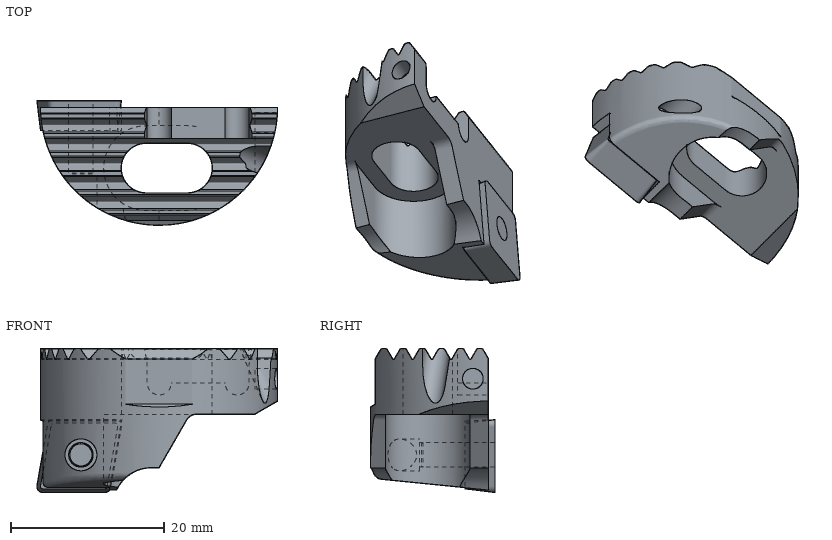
import cadquery as cq
import math


MARGIN = 2.0

BODY_RADIUS = 15.47
BODY_APEX_Y = -15.4
BODY_CENTRE_Y = BODY_APEX_Y + BODY_RADIUS
BODY_BACK_X = math.sqrt(BODY_RADIUS**2 - BODY_CENTRE_Y**2)

BOTTOM_Z = -18.47
BOTTOM_SLOPE = 5.7
BOTTOM_FILLET = 0.8
SHELF_Z = -15.57
SHELF_CORNER_X = 0.0
SHELF_ARC_RADIUS = 5.0
SHELF_ARC_X = -1.0
ARM_Z = -8.59
ARM_SLOPE = 60.0
ARM_FILLET = 1.5
ARM_CHAMFER_X = 12.48
ARM_CHAMFER_ANGLE = 30.0

TOOTH_PITCH = 2.5
TOOTH_COUNT = 6
FIRST_CREST_Y = -1.13
TOOTH_DEPTH = 1.42
TOOTH_FLANK_ANGLE = 30.0
CREST_WIDTH = 0.47
CREST_CHAMFER_WIDTH = 0.18
CREST_CHAMFER_DEPTH = 0.1

SLOT_X = 1.0
SLOT_Y = -7.93
SLOT_LENGTH = 11.85
SLOT_WIDTH = 6.45
SLOT_RECESS_MARGIN = 2.3

NOTCH_X = 5.1
NOTCH_FRONT_Y = -4.07
NOTCH_WIDTH = 13.3
NOTCH_DRAFT = 10.0
NOTCH_DRAFT_DEPTH = 2.0
NOTCH_FLOOR_Z = -4.5
NOTCH_GROOVE_RADIUS = 1.57

CROSS_HOLE_END_X = 12.5
CROSS_HOLE_RADIUS = 1.35
CROSS_HOLE_Z = -3.95

FLAT_Y = -14.78
FLAT_Z = -7.28
FLAT_RAMP_ANGLE = 30.0

FLUTE_RADIUS = 1.7
FLUTE_FLARE = 22.0
FLUTE_LENGTH = 12.0
FLUTE_REACH = 6.0
FLUTE_START = (10.6, -5.95, 0.0)
FLUTE_TILT = 25.0
FLUTE_HEADING = -20.0

INSERT_BACK_Y = 0.87
INSERT_FRONT_Y = -3.03
INSERT_BOTTOM_Z = -18.8
INSERT_HEIGHT = 9.525
INSERT_ANGLE = 80.0
INSERT_CORNER_X = -16.10
INSERT_RADIUS = 0.8
INSERT_RELIEF = 7.0

POCKET_BACK_Z = -9.33
POCKET_FRONT_Z = -9.46

PIN_X = -10.19
PIN_Z = -13.88
PIN_RADIUS = 1.6
PIN_CHAMFER = 0.15
PIN_FRONT_Y = -8.7
COUNTERBORE_RADIUS = 2.08
COUNTERBORE_FLOOR_Y = -9.0


def tan(degrees):
    return math.tan(math.radians(degrees))


def along_y(back_y):
    """XZ sketch plane at the given Y; positive extrusion runs toward -Y."""
    return cq.Workplane("XZ", origin=(0, back_y, 0))


def along_x(start_x):
    """YZ sketch plane at the given X; positive extrusion runs toward +X."""
    return cq.Workplane("YZ", origin=(start_x, 0, 0))


def body_blank():
    """Half-round column with a sloping, rounded underside."""
    column = (
        cq.Workplane("XY")
        .moveTo(-BODY_BACK_X, 0)
        .threePointArc((0, BODY_APEX_Y), (BODY_BACK_X, 0))
        .close()
        .extrude(BOTTOM_Z - MARGIN)
    )
    reach = BODY_RADIUS + MARGIN
    below = (
        along_x(-reach)
        .polyline(
            [
                (MARGIN, BOTTOM_Z - MARGIN * tan(BOTTOM_SLOPE)),
                (-reach, BOTTOM_Z + reach * tan(BOTTOM_SLOPE)),
                (-reach, BOTTOM_Z - 2 * MARGIN),
                (MARGIN, BOTTOM_Z - 2 * MARGIN),
            ]
        )
        .close()
        .extrude(2 * reach)
    )
    column = column.cut(below)
    return column.faces("<Z").edges("not |X").fillet(BOTTOM_FILLET)


def underside_cut():
    """Stepped region below the arm and the shelf, cut through along Y."""
    reach = BODY_RADIUS + MARGIN
    low_z = BOTTOM_Z - MARGIN
    arm_corner_x = SHELF_CORNER_X + (ARM_Z - SHELF_Z) / tan(ARM_SLOPE)
    arm_tangent = ARM_FILLET * tan(ARM_SLOPE / 2)
    slope_x = math.cos(math.radians(ARM_SLOPE))
    slope_z = math.sin(math.radians(ARM_SLOPE))
    arc_centre_z = SHELF_Z - SHELF_ARC_RADIUS
    arc_diagonal = SHELF_ARC_RADIUS * math.sqrt(0.5)
    return (
        along_y(MARGIN)
        .moveTo(SHELF_ARC_X - SHELF_ARC_RADIUS, arc_centre_z)
        .threePointArc(
            (SHELF_ARC_X - arc_diagonal, arc_centre_z + arc_diagonal), (SHELF_ARC_X, SHELF_Z)
        )
        .lineTo(SHELF_CORNER_X, SHELF_Z)
        .lineTo(arm_corner_x - arm_tangent * slope_x, ARM_Z - arm_tangent * slope_z)
        .tangentArcPoint((arm_corner_x + arm_tangent, ARM_Z), relative=False)
        .lineTo(ARM_CHAMFER_X, ARM_Z)
        .lineTo(reach, ARM_Z + (reach - ARM_CHAMFER_X) * tan(ARM_CHAMFER_ANGLE))
        .lineTo(reach, arc_centre_z)
        .close()
        .extrude(reach + MARGIN)
    )


def serration_cut():
    """Round-bottomed valleys between the crests, including the cut-off ones at the back and front."""
    reach = BODY_RADIUS + MARGIN
    flank_sin = math.sin(math.radians(TOOTH_FLANK_ANGLE))
    flank_cos = math.cos(math.radians(TOOTH_FLANK_ANGLE))
    top_half = (TOOTH_PITCH - CREST_WIDTH) / 2
    flank_half = top_half - CREST_CHAMFER_WIDTH
    flank_half_at_root = flank_half - (TOOTH_DEPTH - CREST_CHAMFER_DEPTH) * tan(TOOTH_FLANK_ANGLE)
    root_radius = flank_half_at_root * flank_cos / (1 - flank_sin)
    root_half = root_radius * flank_cos
    root_top_z = -TOOTH_DEPTH + root_radius * (1 - flank_sin)
    valleys = cq.Workplane("XY")
    for index in range(TOOTH_COUNT + 1):
        centre = FIRST_CREST_Y + TOOTH_PITCH * (0.5 - index)
        valley = (
            along_x(-reach)
            .moveTo(centre - top_half, 0)
            .lineTo(centre - flank_half, -CREST_CHAMFER_DEPTH)
            .lineTo(centre - root_half, root_top_z)
            .threePointArc((centre, -TOOTH_DEPTH), (centre + root_half, root_top_z))
            .lineTo(centre + flank_half, -CREST_CHAMFER_DEPTH)
            .lineTo(centre + top_half, 0)
            .close()
            .extrude(2 * reach)
        )
        valleys = valleys.add(valley)
    return valleys.combine()


def slot_cut():
    """Through slot with a wider obround recess below the level of the arm's underside."""
    slot = (
        cq.Workplane("XY")
        .center(SLOT_X, SLOT_Y)
        .slot2D(SLOT_LENGTH, SLOT_WIDTH)
        .extrude(BOTTOM_Z - MARGIN)
    )
    recess = (
        cq.Workplane("XY", origin=(SLOT_X, SLOT_Y, ARM_Z))
        .slot2D(SLOT_LENGTH + 2 * SLOT_RECESS_MARGIN, SLOT_WIDTH + 2 * SLOT_RECESS_MARGIN)
        .extrude(BOTTOM_Z - MARGIN - ARM_Z)
    )
    return slot.union(recess)


def notch_cut():
    """Notch with drafted upper walls and a round groove at each end of its floor."""
    top_half = NOTCH_WIDTH / 2 + NOTCH_DRAFT_DEPTH * tan(NOTCH_DRAFT)
    wall_half = NOTCH_WIDTH / 2
    groove_end = wall_half - 2 * NOTCH_GROOVE_RADIUS
    groove_mid = wall_half - NOTCH_GROOVE_RADIUS
    groove_low_z = NOTCH_FLOOR_Z - NOTCH_GROOVE_RADIUS
    return (
        along_y(0)
        .moveTo(NOTCH_X - top_half, 0)
        .lineTo(NOTCH_X - wall_half, -NOTCH_DRAFT_DEPTH)
        .lineTo(NOTCH_X - wall_half, NOTCH_FLOOR_Z)
        .threePointArc((NOTCH_X - groove_mid, groove_low_z), (NOTCH_X - groove_end, NOTCH_FLOOR_Z))
        .lineTo(NOTCH_X + groove_end, NOTCH_FLOOR_Z)
        .threePointArc((NOTCH_X + groove_mid, groove_low_z), (NOTCH_X + wall_half, NOTCH_FLOOR_Z))
        .lineTo(NOTCH_X + wall_half, -NOTCH_DRAFT_DEPTH)
        .lineTo(NOTCH_X + top_half, 0)
        .close()
        .extrude(-NOTCH_FRONT_Y)
    )


def cross_hole_cut():
    return (
        along_x(CROSS_HOLE_END_X)
        .center(NOTCH_FRONT_Y / 2, CROSS_HOLE_Z)
        .circle(CROSS_HOLE_RADIUS)
        .extrude(BODY_RADIUS)
    )


def front_flat_cut():
    outer_y = BODY_APEX_Y - MARGIN
    return (
        along_x(-BODY_RADIUS)
        .polyline(
            [
                (FLAT_Y, 0),
                (FLAT_Y, FLAT_Z),
                (outer_y, FLAT_Z + (outer_y - FLAT_Y) * tan(FLAT_RAMP_ANGLE)),
                (outer_y, 0),
            ]
        )
        .close()
        .extrude(2 * BODY_RADIUS)
    )


def flute_cut():
    """Round-bottomed flute, flaring outward, sinking from the serrations to the curved side."""
    tilt = math.radians(FLUTE_TILT)
    heading = math.radians(FLUTE_HEADING)
    out_x = math.cos(heading)
    out_y = math.sin(heading)
    direction = cq.Vector(out_x * math.sin(tilt), out_y * math.sin(tilt), -math.cos(tilt))
    outward = cq.Vector(out_x * math.cos(tilt), out_y * math.cos(tilt), math.sin(tilt))
    start = cq.Vector(*FLUTE_START) - direction * MARGIN
    flare = math.radians(FLUTE_FLARE)
    tangent_depth = FLUTE_RADIUS * (1 - math.sin(flare))
    tangent_side = -FLUTE_RADIUS * math.cos(flare)
    return (
        cq.Workplane(cq.Plane(start, outward, direction))
        .moveTo(FLUTE_REACH, tangent_side - (FLUTE_REACH - tangent_depth) * math.tan(flare))
        .lineTo(tangent_depth, tangent_side)
        .threePointArc((0, 0), (FLUTE_RADIUS, FLUTE_RADIUS))
        .lineTo(FLUTE_REACH, FLUTE_RADIUS)
        .close()
        .extrude(FLUTE_LENGTH)
    )


def pocket_cut():
    """Insert seat, open to the back, the left and below."""
    reach = BODY_RADIUS + MARGIN
    low_z = BOTTOM_Z - MARGIN
    room = (
        along_x(-reach)
        .polyline(
            [(0, POCKET_BACK_Z), (INSERT_FRONT_Y, POCKET_FRONT_Z), (INSERT_FRONT_Y, low_z), (0, low_z)]
        )
        .close()
        .extrude(2 * reach)
    )
    inset = INSERT_BACK_Y * tan(INSERT_RELIEF) / math.sin(math.radians(INSERT_ANGLE))
    wall_x = INSERT_CORNER_X + insert_length() - inset
    lean = 1 / tan(INSERT_ANGLE)
    left_of_wall = (
        along_y(0)
        .polyline(
            [
                (-reach, 0),
                (wall_x - INSERT_BOTTOM_Z * lean, 0),
                (wall_x + (low_z - INSERT_BOTTOM_Z) * lean, low_z),
                (-reach, low_z),
            ]
        )
        .close()
        .extrude(reach)
    )
    return room.intersect(left_of_wall)


def pin_hole_cut():
    bore = along_y(MARGIN).center(PIN_X, PIN_Z).circle(PIN_RADIUS).extrude(BODY_RADIUS)
    counterbore = (
        along_y(COUNTERBORE_FLOOR_Y).center(PIN_X, PIN_Z).circle(COUNTERBORE_RADIUS).extrude(BODY_RADIUS)
    )
    return bore.union(counterbore)


def make_holder():
    holder = body_blank()
    for cutter in (
        underside_cut(),
        serration_cut(),
        slot_cut(),
        notch_cut(),
        cross_hole_cut(),
        front_flat_cut(),
        flute_cut(),
        pocket_cut(),
        pin_hole_cut(),
    ):
        holder = holder.cut(cutter)
    return holder.solids()


def insert_length():
    """Side of the rhombic insert."""
    return INSERT_HEIGHT / math.sin(math.radians(INSERT_ANGLE))


def make_insert():
    """Rhombic insert with rounded corners, all sides relieved toward the front, bored for the pin."""
    length = insert_length()
    lean = INSERT_HEIGHT / tan(INSERT_ANGLE)
    left = INSERT_CORNER_X
    top_z = INSERT_BOTTOM_Z + INSERT_HEIGHT
    outline = (
        cq.Sketch()
        .polygon(
            [
                (left, INSERT_BOTTOM_Z),
                (left + length, INSERT_BOTTOM_Z),
                (left + length + lean, top_z),
                (left + lean, top_z),
                (left, INSERT_BOTTOM_Z),
            ]
        )
        .vertices()
        .fillet(INSERT_RADIUS)
    )
    thickness = INSERT_BACK_Y - INSERT_FRONT_Y
    blank = along_y(INSERT_BACK_Y).placeSketch(outline).extrude(thickness, taper=INSERT_RELIEF)
    return blank.cut(pin_hole_cut()).solids()


def make_pin():
    """Pin flush with the insert's back face, with a chamfered end in the counterbore."""
    return (
        along_y(INSERT_BACK_Y)
        .center(PIN_X, PIN_Z)
        .circle(PIN_RADIUS)
        .extrude(INSERT_BACK_Y - PIN_FRONT_Y)
        .faces("<Y")
        .chamfer(PIN_CHAMFER)
        .solids()
    )


holder = make_holder()
insert = make_insert()
pin = make_pin()

result = cq.Compound.makeCompound([holder.val(), insert.val(), pin.val()])